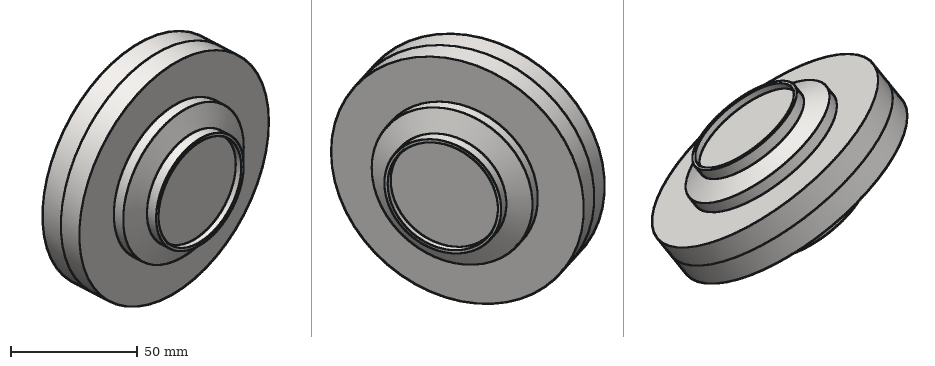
import cadquery as cq

FLANGE_RADIUS = 55.0
COLLAR_RADIUS = 35.0
NECK_RADIUS = 25.4
RECESS_RADIUS = 24.0

FLANGE_THICKNESS = 10.0
COLLAR_LENGTH = 5.1
CONE_LENGTH = 4.0
OVERALL_LENGTH = 48.0
RECESS_DEPTH = 3.0

COLLAR_END = FLANGE_THICKNESS + COLLAR_LENGTH
CONE_END = COLLAR_END + CONE_LENGTH
NECK_END = OVERALL_LENGTH / 2
RECESS_FLOOR = NECK_END - RECESS_DEPTH


def make_flange_half(side):
    """Flange with collar, cone and recessed neck, extending from X = 0 towards side (+1 or -1)."""
    profile = [
        (0, 0),
        (0, FLANGE_RADIUS),
        (FLANGE_THICKNESS, FLANGE_RADIUS),
        (FLANGE_THICKNESS, COLLAR_RADIUS),
        (COLLAR_END, COLLAR_RADIUS),
        (CONE_END, NECK_RADIUS),
        (NECK_END, NECK_RADIUS),
        (NECK_END, RECESS_RADIUS),
        (RECESS_FLOOR, RECESS_RADIUS),
        (RECESS_FLOOR, 0),
    ]
    outline = [(side * x, radius) for x, radius in profile]
    return cq.Workplane("XY").polyline(outline).close().revolve(360, (0, 0, 0), (1, 0, 0))


flange_halves = [make_flange_half(side) for side in (-1, 1)]

result = cq.Compound.makeCompound([half.val() for half in flange_halves])